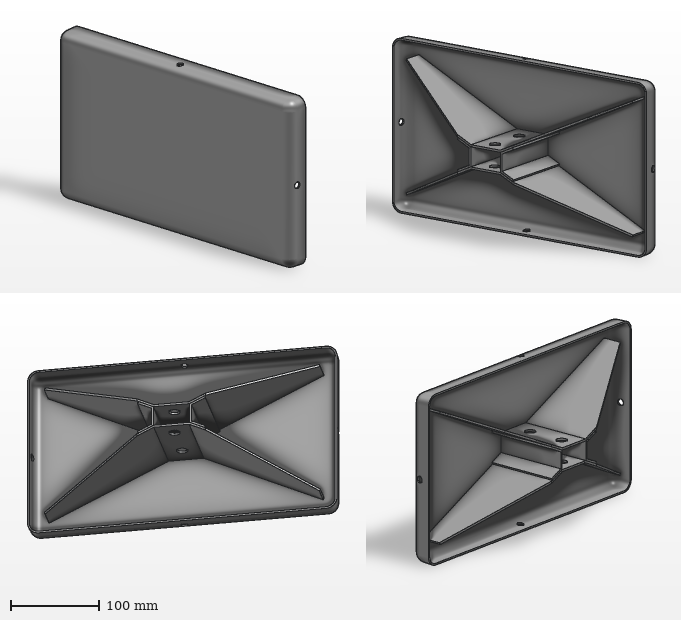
import cadquery as cq
import math

TRAY_LENGTH = 357.5
TRAY_HEIGHT = 205.0
TRAY_DEPTH = 25.5
TRAY_WALL = 2.0
TRAY_RADIUS = 13.0
TRAY_DRAFT = 2.0
DRAIN_DIAMETER = 8.0
DRAIN_FROM_FRONT = 11.8

OVERALL_DEPTH = 90.8
SHEET = 2.5
FLANGE_ANGLE = 25.4
FLOOR_Y = TRAY_WALL - TRAY_DEPTH
MOUNT_Y = OVERALL_DEPTH - TRAY_DEPTH
BRACKET_LENGTH = MOUNT_Y - FLOOR_Y

WIDE_WEB_HALF = 20.5
WIDE_WEB_Z = 14.3
WIDE_TIP_X = 158.3
WIDE_MOUNT_X = 38.5
BOLT_DIAMETER = 13.0
BOLT_FROM_MOUNT = 18.2
BOLT_SPACING = 46.8

NARROW_WEB_X = 23.2
NARROW_TIP_Z = 20.0

SLOPE = math.tan(math.radians(FLANGE_ANGLE))
SHIFT_X = SHEET * math.sin(math.radians(FLANGE_ANGLE))
SHIFT_Z = SHEET * math.cos(math.radians(FLANGE_ANGLE))
SHEET_RISE = SHEET / math.cos(math.radians(FLANGE_ANGLE))


def flange_top(x):
    """Height of the upper face of the upper right wide flange."""
    return WIDE_WEB_Z + SLOPE * (x - WIDE_WEB_HALF)


def flange_bottom(x):
    """Height of the lower face of that flange, where the narrow flange touches it."""
    return flange_top(x) - SHEET_RISE


def narrow_bottom(x):
    """Height of the lower face of the narrow flange below it."""
    return flange_bottom(x) - SHEET_RISE


def x_on(face, z):
    """X at which a sloping flange face reaches height z."""
    return (z - face(0)) / SLOPE


def drafted_block(inset, radius):
    """Rounded block with drafted sides, offset inwards from the tray's outside."""
    return (
        cq.Workplane("XZ")
        .rect(TRAY_LENGTH - 2 * inset, TRAY_HEIGHT - 2 * inset)
        .extrude(TRAY_DEPTH - inset, taper=TRAY_DRAFT)
        .edges("not >Y")
        .fillet(radius)
    )


def make_tray():
    tray = drafted_block(0, TRAY_RADIUS).cut(drafted_block(TRAY_WALL, TRAY_RADIUS - TRAY_WALL))
    drain_y = DRAIN_FROM_FRONT - TRAY_DEPTH
    for plane, span in (("XY", TRAY_HEIGHT), ("YZ", TRAY_LENGTH)):
        drain_start = cq.Workplane(plane, origin=(0, drain_y, 0)).circle(DRAIN_DIAMETER / 2)
        tray = tray.cut(drain_start.extrude(span, both=True))
    return tray


def extrude_sheet(outline):
    """Extrude an XZ cross-section from the tray floor to the mounting end."""
    return cq.Workplane("XZ", origin=(0, MOUNT_Y, 0)).polyline(outline).close().extrude(BRACKET_LENGTH)


def make_upper_bracket():
    web_underside = WIDE_WEB_Z - SHEET
    right_half = [
        (x_on(flange_bottom, web_underside), web_underside),
        (WIDE_TIP_X + SHIFT_X, flange_top(WIDE_TIP_X) - SHIFT_Z),
        (WIDE_TIP_X, flange_top(WIDE_TIP_X)),
        (WIDE_WEB_HALF, WIDE_WEB_Z),
    ]
    left_half = [(-x, z) for x, z in reversed(right_half)]
    bracket = extrude_sheet(right_half + left_half)
    return bracket.intersect(make_side_profile()).cut(make_bolt_holes())


def make_side_profile():
    """Flange outline in XY: straight inside the tray, tapering from the rim to the mounting end."""
    rim_x = WIDE_TIP_X + SHIFT_X
    mount_x = WIDE_MOUNT_X + SHIFT_X
    outline = [
        (-rim_x, FLOOR_Y),
        (rim_x, FLOOR_Y),
        (rim_x, 0),
        (mount_x, MOUNT_Y),
        (-mount_x, MOUNT_Y),
        (-rim_x, 0),
    ]
    return cq.Workplane("XY").polyline(outline).close().extrude(TRAY_HEIGHT, both=True)


def make_bolt_holes():
    first_y = MOUNT_Y - BOLT_FROM_MOUNT
    return (
        cq.Workplane("XY")
        .pushPoints([(0, first_y), (0, first_y - BOLT_SPACING)])
        .circle(BOLT_DIAMETER / 2)
        .extrude(TRAY_HEIGHT)
    )


def make_right_bracket():
    inner_x = NARROW_WEB_X - SHEET
    tip_x = x_on(flange_bottom, NARROW_TIP_Z)
    upper_half = [
        (inner_x, flange_bottom(inner_x)),
        (tip_x, NARROW_TIP_Z),
        (tip_x + SHIFT_X, NARROW_TIP_Z - SHIFT_Z),
        (NARROW_WEB_X, narrow_bottom(NARROW_WEB_X)),
    ]
    lower_half = [(x, -z) for x, z in reversed(upper_half)]
    return extrude_sheet(upper_half + lower_half)


tray = make_tray()
bodies = [tray.solids().val()]
for turn in (0, 180):
    for make_bracket in (make_upper_bracket, make_right_bracket):
        bracket = make_bracket().rotate((0, 0, 0), (0, 1, 0), turn)
        bodies.append(bracket.solids().val())

result = cq.Compound.makeCompound(bodies)